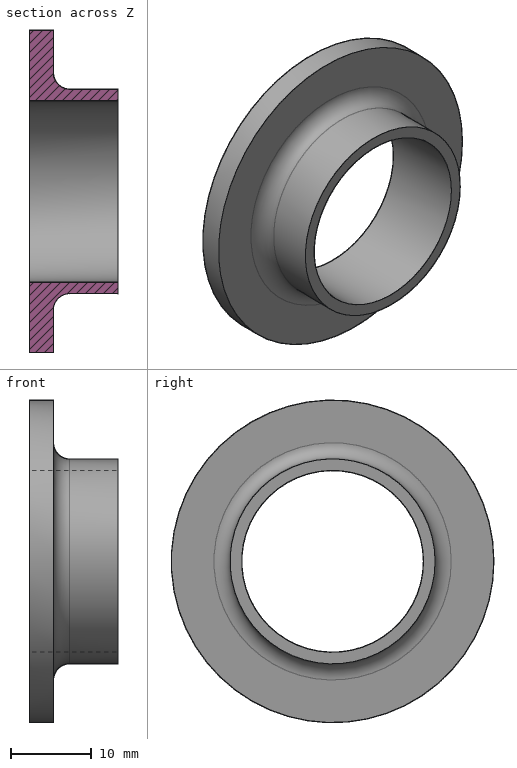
import cadquery as cq

total_length = 11.0
flange_diameter = 40.0
flange_thickness = 3.0
hub_diameter = 25.4
bore_diameter = 22.5
root_fillet_radius = 2.0

flange = cq.Workplane("YZ").circle(flange_diameter / 2).extrude(flange_thickness)

body = (
    flange.faces(">X")
    .workplane()
    .circle(hub_diameter / 2)
    .extrude(total_length - flange_thickness)
)

hub_root = cq.selectors.RadiusNthSelector(0)
body = body.faces("<X[1]").edges(hub_root).fillet(root_fillet_radius)

bore = cq.Workplane("YZ").circle(bore_diameter / 2).extrude(total_length)

result = body.cut(bore)